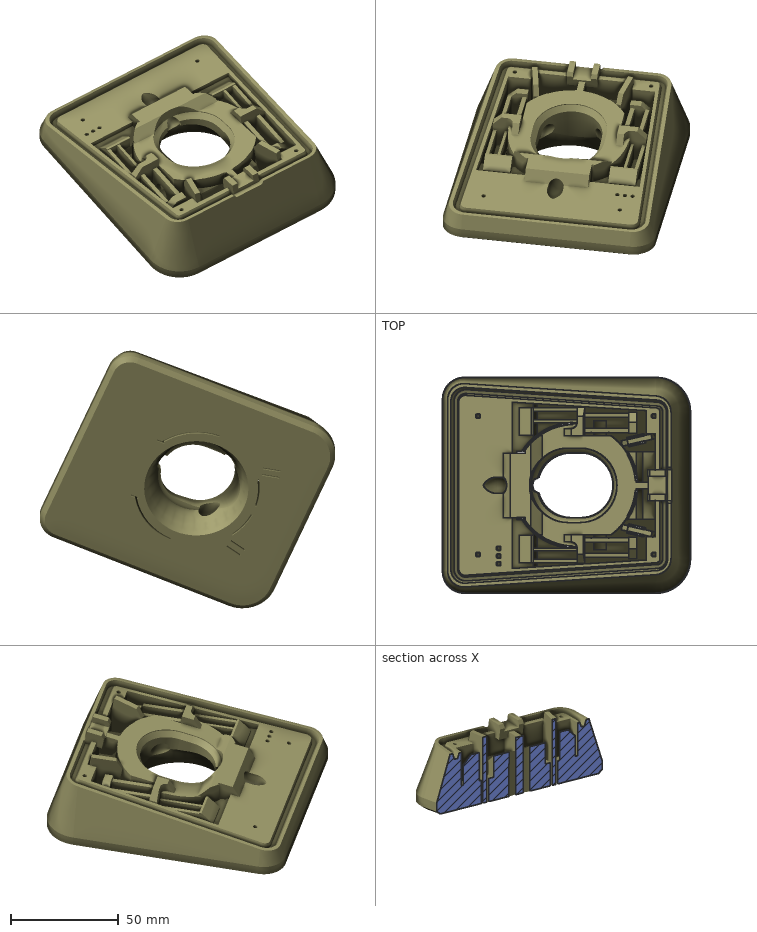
import cadquery as cq
import math

LENGTH = 115.0
WIDTH = 100.0
FRONT_RADIUS = 10.4
REAR_RADIUS = 16.1
FOOT_HEIGHT = 1.7
FOOT_INSET = 2.3
TAPER_START = 6.0
TAPER = 20.0
TAPER_HEIGHT = 27.0

SLOPE = 10.0
RIM_FRONT_X = 2.4
RIM_FRONT_Z = 12.6

RIM_WIDTH = 1.5
RIM_LENGTH = 105.0
RIM_FRONT_HALF = 47.4
RIM_REAR_HALF = 40.6
RIM_FRONT_CORNER = 8.0
RIM_REAR_CORNER = 6.9
GROOVE_DEPTH = 2.9
PLATE_DROP = 0.5
PLATE_MARGIN = 5.2
PLATE_CORNER = 1.2

FLOOR_Z = 11.5
RECESS_FRONT = 32.4
RECESS_REAR = 94.4
RECESS_FRONT_HALF = 38.5
RECESS_REAR_HALF = 34.6
RECESS_STEP_REAR = 98.7
RECESS_STEP_HALF = 23.8
REAR_SHELF_Z = 18.4
REAR_RIDGE_Z = 21.8
REAR_RIDGE_END = 89.8
REAR_SHELF_START = 92.8
REAR_SHELF_HALF = 15.6
FRONT_SHELF_Z = 14.6
FRONT_SHELF_END = 42.2
FRONT_SHELF_FOOT = 44.0

RING_X = 61.3
RING_RADIUS = 28.5
RING_FLAT_HALF = 23.0
HOLE_X = 61.0
HOLE_STRETCH = 5.9
HOLE_RADIUS = 15.0
HOLE_CHAMFER = 2.3
HOLE_LIP = 0.5
FLARE_RADIUS = 24.2
FLARE_TOP_RADIUS = 17.8
FLARE_HEIGHT = 14.4
SLIT = 0.8
SLIT_INSIDE = 0.2
SLIT_FRONT_END = 60.4
TAB_SLIT_FRONT = 34.5
SLIT_REAR_START = 85.7

CLIP_HEIGHT = 4.1
TAB_HALF = 15.0
TAB_FOOT, TAB_FRONT, TAB_REAR, TAB_HEEL = 26.1, 30.2, 39.9, 44.5

LUG_FOOT, LUG_FRONT, LUG_REAR = 55.0, 59.0, 64.6
LUG_NECK = 62.5
LUG_FILLET_Y = 29.3
LUG_FILLET = 3.1
LUG_TOP_END = 32.0
LUG_END = 36.1

BAR_FOOT, BAR_FRONT, BAR_REAR = 81.9, 85.5, 97.1
BAR_WIDTH = 2.5
BAR_ANGLE = 13.0
BAR_PIVOT_X = 85.9
BAR_PIVOT_Y = 20.0
BAR_SLIT_LENGTH = 8.0

LATCH_FRONT, LATCH_REAR = 94.5, 103.0
LATCH_HALF = 7.1
LATCH_GAP_HALF = 4.3
SADDLE_HEIGHT = 0.9
POST_HEIGHT = 4.3
POST_BEVEL_RUN = 1.4
POST_BEVEL_RISE = 1.7
NECK_HALF = 1.5
NOTCH_DEPTH = 1.3
NOTCH_FLARE = 1.2

WEDGE_FRONT, WEDGE_TOP, WEDGE_REAR = 35.6, 41.2, 42.2
WEDGE_INNER, WEDGE_OUTER = 23.1, 35.9
WEDGE_FACE_Z = 15.6
WEDGE_Z = 20.7
FRONT_RAIL_Z = 20.1
FRONT_RAIL_END = 62.7
FRONT_RAILS = ((29.1, 30.4), (34.3, 35.9))
REAR_RAIL_Z = 23.6
REAR_RAIL_START = 64.4
REAR_RAILS = ((24.4, 26.5), (31.5, 33.4))
STOP_FRONT, STOP_REAR = 86.2, 90.0
STOP_INNER, STOP_BEVEL, STOP_OUTER = 24.2, 29.3, 33.9
STOP_Z = 25.3
STOP_OUTER_Z = 21.3

CABLE_RADIUS = 3.8
CABLE_TIP = 18.9
CABLE_NOSE = 6.4
CABLE_Z = 15.4
SIDE_PASSAGE_RADIUS = 4.0
SIDE_PASSAGE_X = 73.0
SIDE_PASSAGE_Z = 14.4
SIDE_PASSAGE_HALF = 29.9

PIN_RADIUS = 1.0
PIN_DEPTH = 2.3
CORNER_PINS_X = (16.3, 97.8)
CORNER_PIN_Y = 32.1
PIN_ROW_X = 25.9
PIN_ROW_Y = -32.8
PIN_ROW_PITCH = 3.6

TALL = 69.0

SIN = math.sin(math.radians(SLOPE))
COS = math.cos(math.radians(SLOPE))


def on_slope(w=0.0):
    """Workplane on the sloping top: local x is u, local y is Y, raised by w."""
    origin = (RIM_FRONT_X - w * SIN, 0, RIM_FRONT_Z + w * COS)
    return cq.Workplane(cq.Plane(origin, xDir=(COS, 0, SIN), normal=(-SIN, 0, COS)))


def u_at(x):
    """Distance up the slope of the point of the rim plane at x."""
    return (x - RIM_FRONT_X) / COS


def side_profile(points, y_min, y_max):
    """Solid from a (u, w) outline, running from y_min to y_max."""
    origin = (RIM_FRONT_X, y_max, RIM_FRONT_Z)
    plane = cq.Plane(origin, xDir=(COS, 0, SIN), normal=(0, -1, 0))
    return cq.Workplane(plane).polyline(points).close().extrude(y_max - y_min)


def box(x_min, x_max, y_min, y_max, z_min, z_max):
    size = (x_max - x_min, y_max - y_min, z_max - z_min)
    return cq.Workplane().box(*size, centered=False).translate((x_min, y_min, z_min))


def both_sides(solid):
    return solid.union(solid.mirror("XZ"))


def above_slope():
    """Everything above the rim plane."""
    return on_slope().rect(4 * LENGTH, 4 * WIDTH).extrude(2 * TALL)


def rounded_outline(points, front_corner, rear_corner):
    """Four-sided sketch whose low-x and high-x corners have their own radii."""
    sketch = cq.Sketch().polygon(points + points[:1])
    sketch = sketch.vertices("<X").fillet(front_corner).reset()
    return sketch.vertices(">X").fillet(rear_corner).reset()


def body():
    half = WIDTH / 2
    corners = [(0, -half), (LENGTH, -half), (LENGTH, half), (0, half)]
    outline = rounded_outline(corners, FRONT_RADIUS, REAR_RADIUS)
    base = cq.Workplane("XY", origin=(0, 0, FOOT_HEIGHT)).placeSketch(outline)
    foot_taper = math.degrees(math.atan(FOOT_INSET / FOOT_HEIGHT))
    foot = base.extrude(-FOOT_HEIGHT, taper=foot_taper)
    skirt = base.extrude(TAPER_START - FOOT_HEIGHT)
    upper_start = cq.Workplane("XY", origin=(0, 0, TAPER_START)).placeSketch(outline)
    upper = upper_start.extrude(TAPER_HEIGHT, taper=TAPER)
    return foot.union(skirt).union(upper).cut(above_slope())


def top_outline(inset):
    """Rim outline on the slope, moved inwards by inset."""
    narrowing = (RIM_FRONT_HALF - RIM_REAR_HALF) / RIM_LENGTH
    u_front, u_rear = inset, RIM_LENGTH - inset
    front = RIM_FRONT_HALF - inset - narrowing * inset
    rear = RIM_REAR_HALF - inset + narrowing * inset
    points = [(u_front, -front), (u_rear, -rear), (u_rear, rear), (u_front, front)]
    front_corner = max(RIM_FRONT_CORNER - inset, PLATE_CORNER)
    rear_corner = max(RIM_REAR_CORNER - inset, PLATE_CORNER)
    return rounded_outline(points, front_corner, rear_corner)


def rim_groove():
    """Space inside the rim: a drafted groove round the slightly sunk plate."""
    opening = on_slope().placeSketch(top_outline(RIM_WIDTH)).extrude(-GROOVE_DEPTH, taper=TAPER)
    plate_edge = on_slope(-PLATE_DROP).placeSketch(top_outline(PLATE_MARGIN))
    plate = plate_edge.extrude(-GROOVE_DEPTH, taper=-TAPER)
    return opening.cut(plate)


def recess():
    """Flat-floored recess in the plate, with a raised shelf at each end."""
    outline = [
        (RECESS_FRONT, -RECESS_FRONT_HALF),
        (RECESS_REAR, -RECESS_REAR_HALF),
        (RECESS_REAR, RECESS_REAR_HALF),
        (RECESS_FRONT, RECESS_FRONT_HALF),
    ]
    main = cq.Workplane("XY", origin=(0, 0, FLOOR_Z)).polyline(outline).close().extrude(TALL)
    step = box(RECESS_REAR, RECESS_STEP_REAR, -RECESS_STEP_HALF, RECESS_STEP_HALF, FLOOR_Z, TALL)
    rear_shelf = [
        (RING_X, FLOOR_Z),
        (RING_X, REAR_RIDGE_Z),
        (REAR_RIDGE_END, REAR_RIDGE_Z),
        (REAR_SHELF_START, REAR_SHELF_Z),
        (RECESS_STEP_REAR, REAR_SHELF_Z),
        (RECESS_STEP_REAR, FLOOR_Z),
    ]
    front_shelf = [
        (RECESS_FRONT, FLOOR_Z),
        (RECESS_FRONT, FRONT_SHELF_Z),
        (FRONT_SHELF_END, FRONT_SHELF_Z),
        (FRONT_SHELF_FOOT, FLOOR_Z),
    ]
    for profile, half in ((rear_shelf, REAR_SHELF_HALF), (front_shelf, RECESS_FRONT_HALF)):
        shelf = cq.Workplane("XZ").polyline(profile).close().extrude(half, both=True)
        main = main.cut(shelf)
        step = step.cut(shelf)
    return main.union(step)


def ring_disc(radius):
    return cq.Workplane("XY").center(RING_X, 0).circle(radius).extrude(TALL)


def ring():
    """Ring level with the rim, with the raised tab at its front and a neck to the latch."""
    disc = ring_disc(RING_RADIUS)
    lug_rear_x = RIM_FRONT_X + LUG_REAR * COS
    side = box(lug_rear_x, RING_X + RING_RADIUS, RING_FLAT_HALF, TALL, 0, TALL)
    disc = disc.cut(both_sides(side))
    bridge = box(RIM_FRONT_X, RING_X, -TAB_HALF, TAB_HALF, 0, TALL)
    plan = disc.union(bridge)
    tab_outline = [
        (TAB_FRONT, CLIP_HEIGHT),
        (TAB_REAR, CLIP_HEIGHT),
        (TAB_HEEL, 0),
        (TAB_HEEL, -PLATE_DROP),
        (TAB_FOOT, -PLATE_DROP),
    ]
    tab = side_profile(tab_outline, -RING_FLAT_HALF, RING_FLAT_HALF).intersect(plan)
    support = plan.cut(box(0, RECESS_FRONT, -WIDTH, WIDTH, 0, TALL))
    neck = box(RING_X, RECESS_STEP_REAR, -NECK_HALF, NECK_HALF, 0, TALL)
    return support.union(neck).cut(above_slope()).union(tab)


def lug():
    """Stop beside the ring: broad where it joins the ring, narrow and bevelled outside."""
    front = RIM_FRONT_X
    rear = RIM_FRONT_X + LUG_REAR * COS
    plan = (
        cq.Workplane("XY")
        .moveTo(front, RING_FLAT_HALF)
        .lineTo(rear, RING_FLAT_HALF)
        .lineTo(rear, LUG_END)
        .lineTo(LUG_NECK, LUG_END)
        .lineTo(LUG_NECK, LUG_FILLET_Y)
        .radiusArc((LUG_NECK - LUG_FILLET, LUG_FILLET_Y - LUG_FILLET), LUG_FILLET)
        .lineTo(front, LUG_FILLET_Y - LUG_FILLET)
        .close()
        .extrude(TALL)
    )
    along = [
        (LUG_FOOT, 0),
        (LUG_FRONT, CLIP_HEIGHT),
        (LUG_REAR, CLIP_HEIGHT),
        (LUG_REAR, -TALL),
        (LUG_FOOT, -TALL),
    ]
    across = [
        (0, CLIP_HEIGHT),
        (LUG_TOP_END, CLIP_HEIGHT),
        (LUG_END, 0),
        (LUG_END, -TALL),
        (0, -TALL),
    ]
    slope_start = (RIM_FRONT_X, 0, RIM_FRONT_Z)
    section = cq.Plane(slope_start, xDir=(0, 1, 0), normal=(COS, 0, SIN))
    envelope = cq.Workplane(section).polyline(across).close().extrude(LENGTH)
    solid = plan.intersect(side_profile(along, 0, LUG_END)).intersect(envelope)
    return solid.intersect(box(0, LENGTH, 0, WIDTH, FLOOR_Z, TALL))


def bar():
    """Splayed bar behind the ring, with a raked front end."""
    outline = [
        (BAR_FOOT, 0),
        (BAR_FRONT, CLIP_HEIGHT),
        (BAR_REAR, CLIP_HEIGHT),
        (BAR_REAR, -TALL),
        (BAR_FOOT, -TALL),
    ]
    solid = side_profile(outline, -BAR_WIDTH / 2, BAR_WIDTH / 2)
    solid = solid.rotate((BAR_PIVOT_X, 0, 0), (BAR_PIVOT_X, 0, 1), BAR_ANGLE)
    solid = solid.translate((0, BAR_PIVOT_Y, 0))
    return solid.intersect(box(0, LENGTH, 0, WIDTH, FLOOR_Z, TALL))


def latch():
    """Saddle with two posts on the rear edge of the plate."""
    saddle_outline = [
        (LATCH_FRONT, SADDLE_HEIGHT),
        (LATCH_REAR, SADDLE_HEIGHT),
        (LATCH_REAR, -GROOVE_DEPTH),
        (LATCH_FRONT, -GROOVE_DEPTH),
    ]
    post_outline = [
        (LATCH_FRONT, 0),
        (LATCH_FRONT, POST_HEIGHT - POST_BEVEL_RISE),
        (LATCH_FRONT + POST_BEVEL_RUN, POST_HEIGHT),
        (LATCH_REAR, POST_HEIGHT),
        (LATCH_REAR, 0),
    ]
    saddle = side_profile(saddle_outline, -LATCH_HALF, LATCH_HALF)
    post = side_profile(post_outline, LATCH_GAP_HALF, LATCH_HALF)
    return saddle.union(both_sides(post))


def wedge():
    profile = [
        (WEDGE_FRONT, FLOOR_Z),
        (WEDGE_FRONT, WEDGE_FACE_Z),
        (WEDGE_TOP, WEDGE_Z),
        (WEDGE_REAR, WEDGE_Z),
        (WEDGE_REAR, FLOOR_Z),
    ]
    plane = cq.Workplane("XZ", origin=(0, WEDGE_OUTER, 0))
    return plane.polyline(profile).close().extrude(WEDGE_OUTER - WEDGE_INNER)


def rails():
    """Rails from the wedge to the lug and from the lug to the stop block."""
    stop_profile = [
        (STOP_INNER, FLOOR_Z),
        (STOP_INNER, STOP_Z),
        (STOP_BEVEL, STOP_Z),
        (STOP_OUTER, STOP_OUTER_Z),
        (STOP_OUTER, FLOOR_Z),
    ]
    start = cq.Workplane("YZ", origin=(STOP_FRONT, 0, 0))
    solid = start.polyline(stop_profile).close().extrude(STOP_REAR - STOP_FRONT)
    for y_min, y_max in FRONT_RAILS:
        solid = solid.union(box(WEDGE_TOP, FRONT_RAIL_END, y_min, y_max, FLOOR_Z, FRONT_RAIL_Z))
    for y_min, y_max in REAR_RAILS:
        solid = solid.union(box(REAR_RAIL_START, STOP_FRONT, y_min, y_max, FLOOR_Z, REAR_RAIL_Z))
    return solid


def stretched_hole(w, radius):
    """Oblong outline of the big hole on the slope, w above the rim plane."""
    plane = on_slope(w).center(u_at(HOLE_X), 0)
    return plane.slot2D(HOLE_STRETCH + 2 * radius, 2 * radius)


def big_hole():
    """Oblong hole, chamfered at the top and flared to a round opening underneath."""
    bore = stretched_hole(0, HOLE_RADIUS).extrude(-TALL)
    bore = bore.intersect(box(0, LENGTH, -WIDTH, WIDTH, FLARE_HEIGHT / 2, TALL))
    mouth_radius = HOLE_RADIUS + HOLE_CHAMFER
    chamfer = stretched_hole(-HOLE_LIP, mouth_radius).extrude(-HOLE_CHAMFER, taper=45)
    lip = stretched_hole(-HOLE_LIP, mouth_radius).extrude(HOLE_LIP + CLIP_HEIGHT)
    flare_profile = [(0, 0), (FLARE_RADIUS, 0), (FLARE_TOP_RADIUS, FLARE_HEIGHT), (0, FLARE_HEIGHT)]
    flare = cq.Workplane("XZ").polyline(flare_profile).close().revolve(360, (0, 0), (0, 1))
    flare = flare.translate((HOLE_X, 0, 0))
    return bore.union(chamfer).union(lip).union(flare)


def slits():
    """Narrow through gaps round the front and rear of the ring and beside the bars."""
    gap = ring_disc(RING_RADIUS + SLIT - SLIT_INSIDE).cut(ring_disc(RING_RADIUS - SLIT_INSIDE))
    front = box(0, SLIT_FRONT_END, TAB_HALF, WIDTH, 0, TALL)
    rear = box(SLIT_REAR_START, LENGTH, NECK_HALF + SLIT, BAR_PIVOT_Y - BAR_WIDTH, 0, TALL)
    beside_tab = box(TAB_SLIT_FRONT, RING_X - RING_FLAT_HALF, TAB_HALF, TAB_HALF + SLIT, 0, TALL)
    solid = gap.intersect(front.union(rear)).union(beside_tab)
    for side in (-1, 1):
        y_middle = side * (BAR_WIDTH + SLIT) / 2
        strip = box(BAR_PIVOT_X, BAR_PIVOT_X + BAR_SLIT_LENGTH, -SLIT / 2, SLIT / 2, 0, TALL)
        strip = strip.translate((0, y_middle, 0))
        strip = strip.rotate((BAR_PIVOT_X, 0, 0), (BAR_PIVOT_X, 0, 1), BAR_ANGLE)
        solid = solid.union(strip.translate((0, BAR_PIVOT_Y, 0)))
    return both_sides(solid)


def front_passage():
    """Passage with a pointed round nose, from the plate under the tab to the big hole."""
    arc_radius = (CABLE_NOSE**2 + CABLE_RADIUS**2) / (2 * CABLE_RADIUS)
    profile = (
        cq.Workplane("XZ")
        .moveTo(0, 0)
        .radiusArc((CABLE_NOSE, CABLE_RADIUS), arc_radius)
        .lineTo(HOLE_X - CABLE_TIP, CABLE_RADIUS)
        .lineTo(HOLE_X - CABLE_TIP, 0)
        .close()
    )
    return profile.revolve(360, (0, 0), (1, 0)).translate((CABLE_TIP, 0, CABLE_Z))


def side_passages():
    start = cq.Workplane("XZ", origin=(SIDE_PASSAGE_X, 0, SIDE_PASSAGE_Z))
    return start.circle(SIDE_PASSAGE_RADIUS).extrude(SIDE_PASSAGE_HALF, both=True)


def pin_holes():
    centres = [(x, y) for x in CORNER_PINS_X for y in (-CORNER_PIN_Y, CORNER_PIN_Y)]
    centres += [(PIN_ROW_X, PIN_ROW_Y + i * PIN_ROW_PITCH) for i in (-1, 0, 1)]
    points = [(u_at(x), y) for x, y in centres]
    return on_slope().pushPoints(points).circle(PIN_RADIUS).extrude(-PLATE_DROP - PIN_DEPTH)


def rim_notch():
    """Gap with flared sides in the rear rim, behind the latch."""
    outline = [
        (-LATCH_HALF, -NOTCH_DEPTH),
        (LATCH_HALF, -NOTCH_DEPTH),
        (LATCH_HALF + NOTCH_FLARE, 0),
        (-LATCH_HALF - NOTCH_FLARE, 0),
    ]
    rear_edge = (RIM_FRONT_X + LATCH_REAR * COS, 0, RIM_FRONT_Z + LATCH_REAR * SIN)
    section = cq.Plane(rear_edge, xDir=(0, 1, 0), normal=(COS, 0, SIN))
    return cq.Workplane(section).polyline(outline).close().extrude(LENGTH - LATCH_REAR)


result = body().cut(rim_groove()).cut(recess())
result = result.union(both_sides(wedge())).union(both_sides(rails()))
result = result.union(ring()).union(both_sides(lug())).union(both_sides(bar())).union(latch())
for cut in (slits(), big_hole(), front_passage(), side_passages(), pin_holes(), rim_notch()):
    result = result.cut(cut)